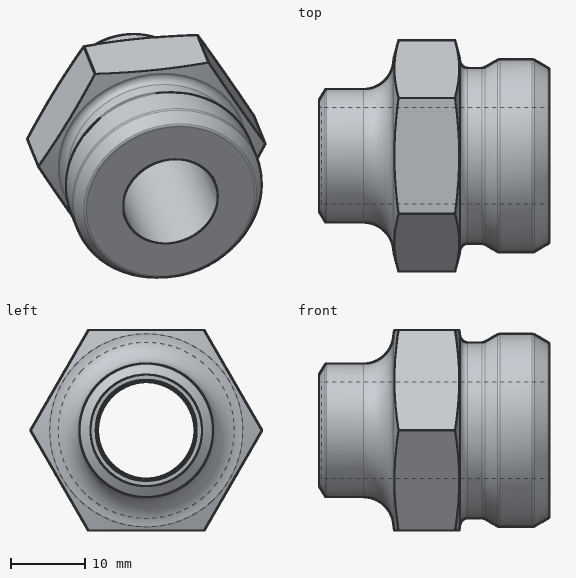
import cadquery as cq
import math

total_length = 31.0
spigot_length = 6.0
groove_start = 19.0
collar_cone_start = 22.17
end_cone_start = 28.85

spigot_diameter = 18.0
spigot_tip_diameter = 15.0
hex_face_diameter = 26.0
collar_diameter = 26.0
groove_diameter = 23.7
bore_diameter = 13.0
bore_mouth_diameter = 13.6

across_flats = 27.0
corner_diameter = 31.15
hex_chamfer_angle = 15.0

tip_chamfer_length = 0.9
tip_edge_radius = 0.25
bore_mouth_depth = 0.3
thread_cone_angle = 30.0
groove_corner_radius = 1.0
cone_root_radius = 0.85
collar_edge_radius = 0.62
end_edge_radius = 0.37

spigot_radius = spigot_diameter / 2
hex_face_radius = hex_face_diameter / 2
corner_radius = corner_diameter / 2
groove_radius = groove_diameter / 2
collar_radius = collar_diameter / 2
neck_radius = hex_face_radius - spigot_radius
hex_start = spigot_length + neck_radius
hex_chamfer_length = (corner_radius - hex_face_radius) * math.tan(math.radians(hex_chamfer_angle))
cone_slope = math.tan(math.radians(thread_cone_angle))
collar_start = collar_cone_start + (collar_radius - groove_radius) / cone_slope
end_radius = collar_radius - (total_length - end_cone_start) * cone_slope
axis_end = (1, 0, 0)


def revolve_about_x(profile):
    """Turn a closed XY profile, Y being the radius, about the X axis."""
    return profile.close().revolve(360, (0, 0, 0), axis_end)


def round_circle(body, x, radius, fillet_radius):
    """Fillet the circular edge of the given radius at position x."""
    margin = 0.015
    reach = radius + margin
    edge_box = cq.selectors.BoxSelector(
        (x - margin, -reach, -reach), (x + margin, reach, reach), boundingbox=True
    )
    return body.edges("%CIRCLE").edges(edge_box).fillet(fillet_radius)


def make_spigot():
    """Spigot with a rounded bevel that flares into the hexagon through a quarter-circle neck."""
    diagonal = neck_radius * math.sqrt(0.5)
    arc_middle = (spigot_length + diagonal, hex_face_radius - diagonal)
    spigot = revolve_about_x(
        cq.Workplane("XY")
        .moveTo(0, 0)
        .lineTo(0, spigot_tip_diameter / 2)
        .lineTo(tip_chamfer_length, spigot_radius)
        .lineTo(spigot_length, spigot_radius)
        .threePointArc(arc_middle, (hex_start, hex_face_radius))
        .lineTo(hex_start, 0)
    )
    return round_circle(spigot, tip_chamfer_length, spigot_radius, tip_edge_radius)


def make_hexagon():
    """Hexagon with corners on the Y axis, turned to a double-chamfered envelope."""
    prism = (
        cq.Workplane("YZ")
        .workplane(offset=hex_start)
        .polygon(6, across_flats / math.cos(math.pi / 6))
        .extrude(groove_start - hex_start)
    )
    envelope = revolve_about_x(
        cq.Workplane("XY")
        .moveTo(hex_start, 0)
        .lineTo(hex_start, hex_face_radius)
        .lineTo(hex_start + hex_chamfer_length, corner_radius)
        .lineTo(groove_start - hex_chamfer_length, corner_radius)
        .lineTo(groove_start, hex_face_radius)
        .lineTo(groove_start, 0)
    )
    return prism.intersect(envelope)


def make_collar():
    """Groove and collar with conical shoulders and rounded edges."""
    collar = revolve_about_x(
        cq.Workplane("XY")
        .moveTo(groove_start, 0)
        .lineTo(groove_start, groove_radius)
        .lineTo(collar_cone_start, groove_radius)
        .lineTo(collar_start, collar_radius)
        .lineTo(end_cone_start, collar_radius)
        .lineTo(total_length, end_radius)
        .lineTo(total_length, 0)
    )
    collar = round_circle(collar, collar_cone_start, groove_radius, cone_root_radius)
    collar = round_circle(collar, collar_start, collar_radius, collar_edge_radius)
    collar = round_circle(collar, end_cone_start, collar_radius, collar_edge_radius)
    return round_circle(collar, total_length, end_radius, end_edge_radius)


def make_bore():
    """Through bore with a small chamfer at the spigot end."""
    bore_radius = bore_diameter / 2
    return revolve_about_x(
        cq.Workplane("XY")
        .moveTo(0, 0)
        .lineTo(0, bore_mouth_diameter / 2)
        .lineTo(bore_mouth_depth, bore_radius)
        .lineTo(total_length, bore_radius)
        .lineTo(total_length, 0)
    )


body = make_spigot().union(make_hexagon()).union(make_collar())
body = round_circle(body, groove_start, groove_radius, groove_corner_radius)
result = body.cut(make_bore())